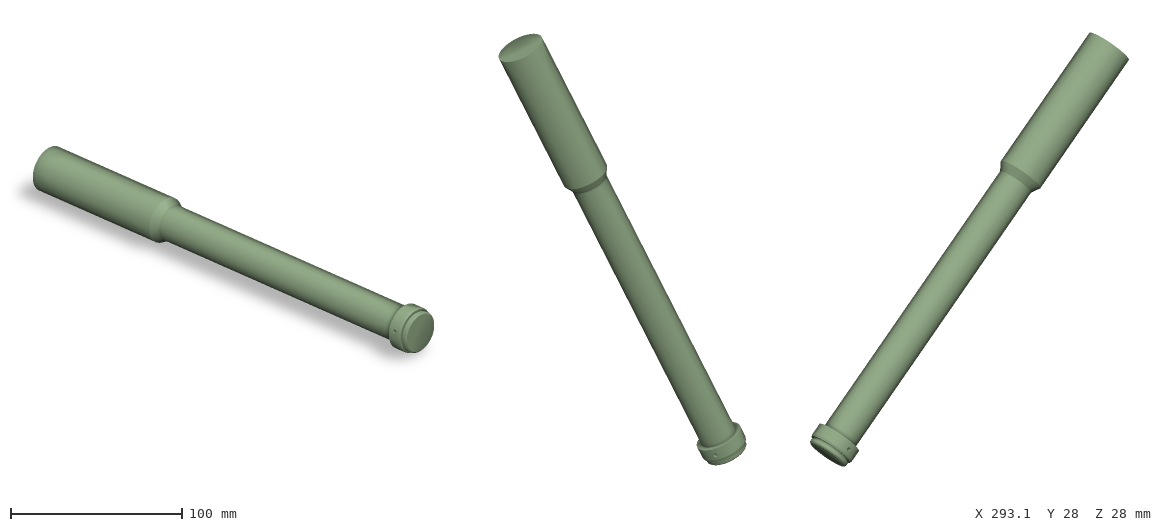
import cadquery as cq
import math

total_length = 293.1

grip_radius = 14.0
grip_length = 92.0
tube_radius = 11.0
shoulder_angle = 30.0
shoulder_length = (grip_radius - tube_radius) / math.tan(math.radians(shoulder_angle))

head_length = 12.3
collar_radius = grip_radius
collar_length = 8.6
collar_chamfer_length = 1.2
collar_chamfer_depth = 0.4
groove_radius = 12.0
groove_width = 1.0
spigot_radius = 12.7
spigot_chamfer = 0.8

screw_count = 3
screw_diameter = 2.5
screw_depth = 3.0
screw_offset = 4.3
first_screw_angle = 166.0

shoulder_end = grip_length + shoulder_length
collar_start = total_length - head_length
collar_end = collar_start + collar_length
spigot_start = collar_end + groove_width


def make_body():
    """Turned body: half profile revolved about the X axis."""
    profile = (
        cq.Workplane("XY")
        .moveTo(0, 0)
        .lineTo(0, grip_radius)
        .lineTo(grip_length, grip_radius)
        .lineTo(shoulder_end, tube_radius)
        .lineTo(collar_start, tube_radius)
        .lineTo(collar_start, collar_radius)
        .lineTo(collar_end - collar_chamfer_length, collar_radius)
        .lineTo(collar_end, collar_radius - collar_chamfer_depth)
        .lineTo(collar_end, groove_radius)
        .lineTo(spigot_start, groove_radius)
        .lineTo(spigot_start, spigot_radius)
        .lineTo(total_length - spigot_chamfer, spigot_radius)
        .lineTo(total_length, spigot_radius - spigot_chamfer)
        .lineTo(total_length, 0)
        .close()
    )
    return profile.revolve(360, (0, 0, 0), (1, 0, 0))


def make_screw_hole(angle):
    """Cutter for one radial blind hole, at an angle about X measured from +Y."""
    return (
        cq.Workplane("XZ", origin=(collar_start + screw_offset, collar_radius - screw_depth, 0))
        .circle(screw_diameter / 2)
        .extrude(-2 * screw_depth)
        .rotate((0, 0, 0), (1, 0, 0), angle)
    )


result = make_body()
for index in range(screw_count):
    result = result.cut(make_screw_hole(first_screw_angle + index * 360 / screw_count))